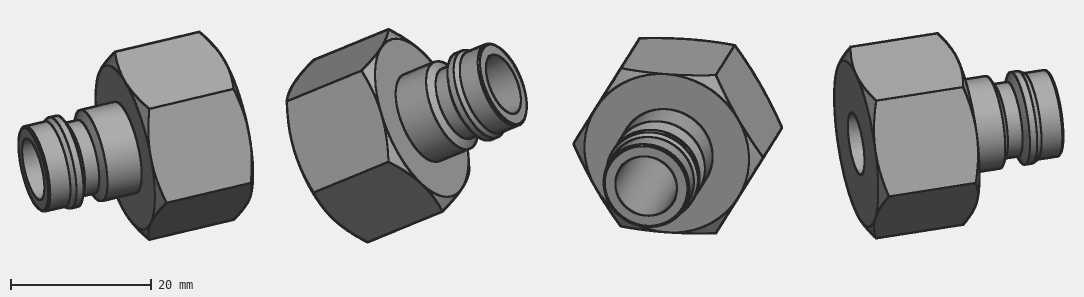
import cadquery as cq
import math

total_length = 29.0
hex_length = 15.0
hex_across_flats = 24.0
hex_chamfer_angle = 30.0
bore_diameter = 9.0

shank_radius = 6.7
groove_radius = 5.4
tip_radius = 6.25
tip_chamfer = 0.23

shank_end = 5.22
groove_start = 5.97
groove_end = 8.15
collar_start = 8.87
collar_end = 9.95
tip_start = 10.7
stem_length = total_length - hex_length

hex_across_corners = hex_across_flats / math.cos(math.radians(30))


def revolve_about_y(profile):
    """Revolve a closed (radius, y) outline a full turn about the Y axis."""
    return cq.Workplane("XY").polyline(profile).close().revolve(360, (0, 0, 0), (0, 1, 0))


def make_hexagon():
    """Hexagon with corners on X, both ends chamfered by a cone touching the flats."""
    prism = cq.Workplane("XZ").polygon(6, hex_across_corners).extrude(-hex_length)
    face_radius = hex_across_flats / 2
    corner_radius = hex_across_corners / 2
    chamfer_depth = (corner_radius - face_radius) * math.tan(math.radians(hex_chamfer_angle))
    envelope = revolve_about_y([
        (0, 0),
        (face_radius, 0),
        (corner_radius, chamfer_depth),
        (corner_radius, hex_length - chamfer_depth),
        (face_radius, hex_length),
        (0, hex_length),
    ])
    return prism.intersect(envelope)


def make_stem():
    """Turned stem with a conical-sided groove, a collar and a chamfered tip."""
    return revolve_about_y([
        (0, 0),
        (shank_radius, 0),
        (shank_radius, -shank_end),
        (groove_radius, -groove_start),
        (groove_radius, -groove_end),
        (shank_radius, -collar_start),
        (shank_radius, -collar_end),
        (tip_radius, -tip_start),
        (tip_radius, -(stem_length - tip_chamfer)),
        (tip_radius - tip_chamfer, -stem_length),
        (0, -stem_length),
    ])


def make_bore():
    """Cylinder along the whole length of the part."""
    return (
        cq.Workplane("XZ", origin=(0, hex_length, 0))
        .circle(bore_diameter / 2)
        .extrude(total_length)
    )


result = make_hexagon().union(make_stem()).cut(make_bore())